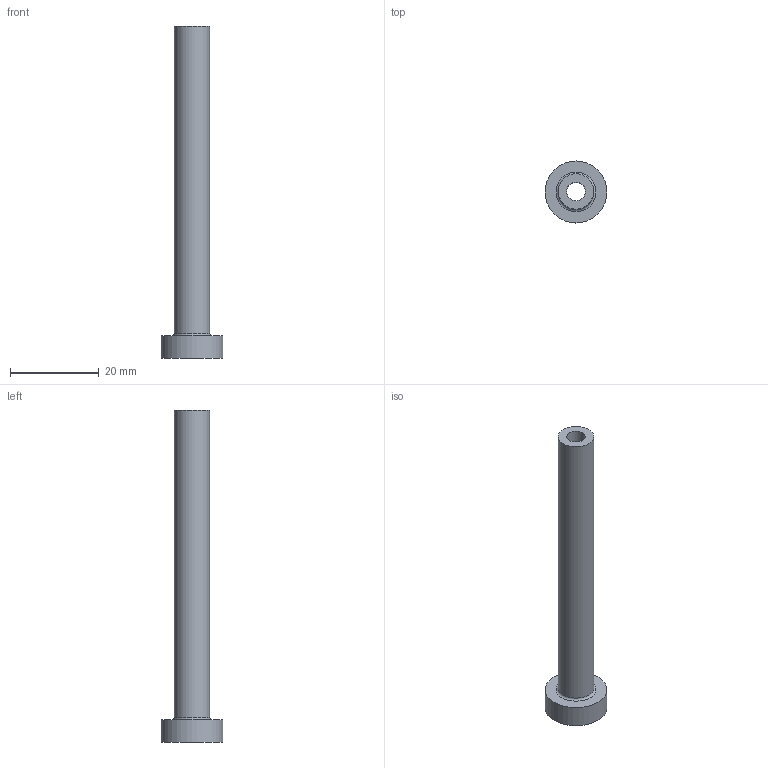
import cadquery as cq

total_length = 75.0
head_diameter = 14.0
head_height = 5.0
shank_diameter = 8.0
bore_diameter = 4.2
neck_fillet_radius = 0.5


def sleeve_blank():
    """Solid head with the shank on top and a fillet where they meet, standing on Z = 0."""
    head_radius = head_diameter / 2
    shank_radius = shank_diameter / 2
    fillet_outer_radius = shank_radius + neck_fillet_radius
    fillet_top = head_height + neck_fillet_radius
    profile = (
        cq.Workplane("XZ")
        .lineTo(head_radius, 0)
        .lineTo(head_radius, head_height)
        .lineTo(fillet_outer_radius, head_height)
        .radiusArc((shank_radius, fillet_top), neck_fillet_radius)
        .lineTo(shank_radius, total_length)
        .lineTo(0, total_length)
        .close()
    )
    return profile.revolve(360, (0, 0, 0), (0, 1, 0))


def through_bore():
    """Straight bore along the full length of the axis."""
    return cq.Workplane("XY").circle(bore_diameter / 2).extrude(total_length)


result = sleeve_blank().cut(through_bore())